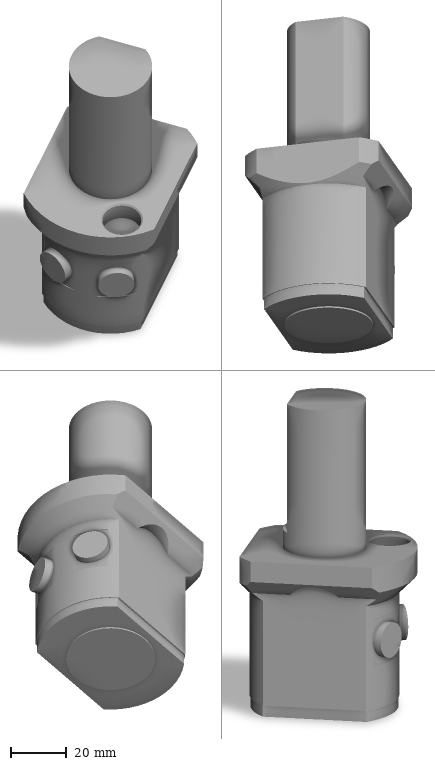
import cadquery as cq
import math

total_height = 115.0
foot_height = 0.6
plate_top = 4.8
flange_top = 60.0
flat_bottom = flange_top + 6.9

shank_diameter = 30.0
shank_flat_y = 12.1

flange_radius = 33.5
flange_width = 50.0
flange_back_y = 27.5
side_bevel_top = flange_top - 7.6
rim_bottom = flange_top - 9.7

body_radius = 27.0
body_width = 38.6
plate_radius = 26.7
plate_width = 37.4
foot_diameter = 32.0

relief_radius = 10.9
relief_z = 40.2

hole_diameter = 14.0
hole_chamfer = 0.6
hole_depth = 7.2
hole_x = 12.4
hole_y = -21.6

pin_diameter = 13.0
pin_angle = 24.6
pin_face_radius = 29.4
pin_z = 29.8
window_x = 10.9
window_width = 13.3
window_height = 18.2
window_depth = 0.1
window_border = 1.2


def cylinder(radius, bottom, top):
    return cq.Workplane("XY").workplane(offset=bottom).circle(radius).extrude(top - bottom)


def flat_sided_disc(radius, width, bottom, top):
    slab = cq.Workplane("XY").box(width, 2 * radius, top - bottom, centered=(True, True, False))
    return cylinder(radius, bottom, top).intersect(slab.translate((0, 0, bottom)))


def make_shank():
    shank_radius = shank_diameter / 2
    shank = cylinder(shank_radius, flange_top, total_height)
    beyond_flat = cq.Workplane("XY").box(
        shank_diameter, shank_radius, total_height - flat_bottom, centered=(True, False, False)
    )
    return shank.cut(beyond_flat.translate((0, shank_flat_y, flat_bottom)))


def make_flange():
    cone_bottom = rim_bottom - (flange_radius - body_radius)
    profile = [
        (0, cone_bottom),
        (body_radius, cone_bottom),
        (flange_radius, rim_bottom),
        (flange_radius, flange_top),
        (0, flange_top),
    ]
    disc = cq.Workplane("XZ").polyline(profile).close().revolve(360, (0, 0), (0, 1))

    half_flange = flange_width / 2
    half_body = body_width / 2
    bevel_bottom = side_bevel_top - (half_flange - half_body)
    section = [
        (-half_flange, flange_top),
        (-half_flange, side_bevel_top),
        (-half_body, bevel_bottom),
        (-half_body, cone_bottom),
        (half_body, cone_bottom),
        (half_body, bevel_bottom),
        (half_flange, side_bevel_top),
        (half_flange, flange_top),
    ]
    trim = (
        cq.Workplane("XZ", origin=(0, flange_back_y, 0))
        .polyline(section)
        .close()
        .extrude(flange_back_y + flange_radius)
    )
    return disc.intersect(trim)


def cut_side_reliefs(part):
    relief_depth = (flange_width - body_width) / 2
    for start_x in (-flange_width / 2, body_width / 2):
        relief = cq.Workplane("YZ", origin=(start_x, 0, relief_z)).circle(relief_radius).extrude(relief_depth)
        part = part.cut(relief)
    return part


def cut_flange_hole(part):
    hole_radius = hole_diameter / 2
    profile = [
        (0, 0),
        (hole_radius + hole_chamfer, 0),
        (hole_radius, -hole_chamfer),
        (hole_radius, -hole_depth),
        (0, -hole_depth),
    ]
    hole = cq.Workplane("XZ").polyline(profile).close().revolve(360, (0, 0), (0, 1))
    return part.cut(hole.translate((hole_x, hole_y, flange_top)))


def cut_window(part, side, width, depth):
    block = cq.Workplane("XY").box(width, body_radius, window_height, centered=(True, False, True))
    block = block.translate((side * window_x, -body_radius, pin_z))
    core = cylinder(body_radius - depth, 0, flange_top)
    return part.cut(block.cut(core))


def make_pin(side):
    angle = math.radians(pin_angle)
    outward = (side * math.sin(angle), -math.cos(angle), 0)
    base_radius = body_radius - pin_diameter / 2
    base = (base_radius * outward[0], base_radius * outward[1], pin_z)
    plane = cq.Plane(origin=base, xDir=(0, 0, 1), normal=outward)
    return cq.Workplane(plane).circle(pin_diameter / 2).extrude(pin_face_radius - base_radius)


body = flat_sided_disc(body_radius, body_width, plate_top, side_bevel_top)
plate = flat_sided_disc(plate_radius, plate_width, foot_height, plate_top)
foot = cylinder(foot_diameter / 2, 0, foot_height)

result = make_flange().union(body).union(plate).union(foot).union(make_shank())
result = cut_side_reliefs(result)
result = cut_flange_hole(result)
for side in (-1, 1):
    result = cut_window(result, side, window_width, window_depth)
    result = cut_window(result, side, window_width - 2 * window_border, 2 * window_depth)
    result = result.union(make_pin(side))